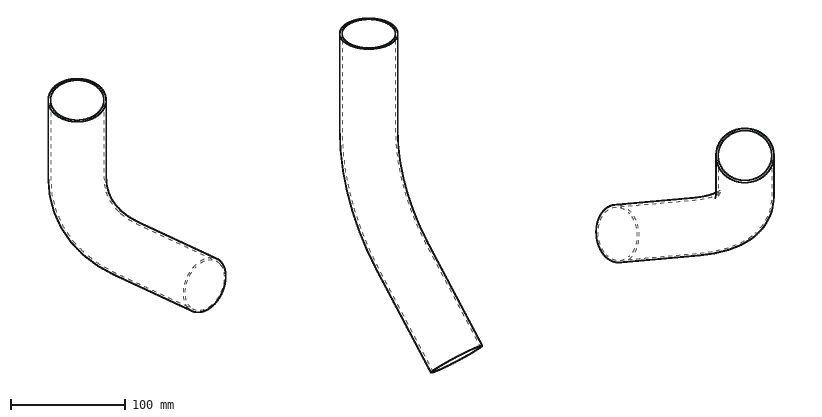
import cadquery as cq
import math

total_height = 299.2
outer_diameter = 51.0
inner_diameter = 46.7
bend_radius = 3 * outer_diameter
bend_angle = 45.0

sine = math.sin(math.radians(bend_angle))
cosine = math.cos(math.radians(bend_angle))
rim_drop = outer_diameter / 2 * sine
leg_length = (total_height - bend_radius * sine - rim_drop) / (1 + cosine)


def centreline_point(angle):
    """Point (Y, Z) on the bend, with the angle turned from vertical in degrees."""
    turn = math.radians(angle)
    y = bend_radius * (1 - math.cos(turn))
    z = -leg_length - bend_radius * math.sin(turn)
    return y, z


bend_end = centreline_point(bend_angle)
lower_end = (bend_end[0] + leg_length * sine, bend_end[1] - leg_length * cosine)
centreline = (
    cq.Workplane("YZ")
    .lineTo(0, -leg_length)
    .threePointArc(centreline_point(bend_angle / 2), bend_end)
    .lineTo(*lower_end)
)

result = (
    cq.Workplane("XY")
    .circle(outer_diameter / 2)
    .circle(inner_diameter / 2)
    .sweep(centreline)
)